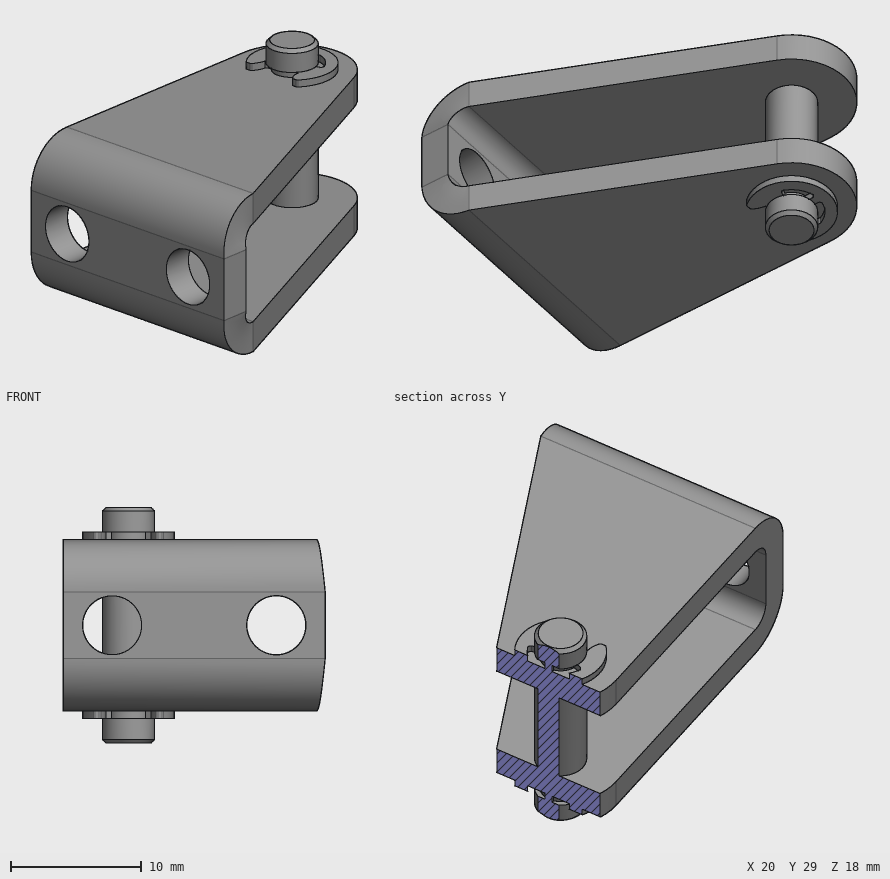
import cadquery as cq
import math

width = 20.0
length = 29.0
height = 13.1
thickness = 2.5
inner_bend_radius = 1.5
outer_bend_radius = inner_bend_radius + thickness
bend_side_x = 19.35

ear_radius = 5.0
pin_x = ear_radius
pin_y = length - ear_radius
pin_radius = 4.0 / 2
pin_length = 18.0
pin_chamfer = 0.3
groove_radius = 1.6

hole_diameter = 4.5
hole_inset = 3.75

clip_thickness = 0.58
clip_radius = 3.5
clip_slot_radius = 2.55
clip_tab_half_width = 0.35
clip_slot_start_angle = 18.0
clip_slot_corner = 0.23
leg_root = (1.7, -1.22)
leg_bulge = (1.85, -1.8)
leg_tip = (2.15, -2.32)
leg_tip_corner = 0.17


def polar(radius, degrees):
    angle = math.radians(degrees)
    return (radius * math.cos(angle), radius * math.sin(angle))


def make_channel():
    """U-shaped sheet, open toward +Y."""
    outer = (
        cq.Workplane("XY").box(width, length, height, centered=(False, False, True))
        .edges("|X and <Y").fillet(outer_bend_radius)
    )
    inner = (
        cq.Workplane("XY").workplane(offset=-height / 2 + thickness)
        .moveTo(0, thickness)
        .rect(width, length, centered=False)
        .extrude(height - 2 * thickness)
        .edges("|X and <Y").fillet(inner_bend_radius)
    )
    return outer.cut(inner)


def make_side_outline():
    """Tapered arm outline with its slanted side tangent to the round ear."""
    run = bend_side_x - pin_x
    drop = pin_y - outer_bend_radius
    taper = math.atan2(run, drop) - math.asin(ear_radius / math.hypot(run, drop))
    tangent_x = pin_x + ear_radius * math.cos(taper)
    tangent_y = pin_y + ear_radius * math.sin(taper)
    return (
        cq.Workplane("XY").workplane(offset=-height / 2)
        .moveTo(0, 0)
        .lineTo(width, 0)
        .lineTo(width, outer_bend_radius)
        .lineTo(bend_side_x, outer_bend_radius)
        .lineTo(tangent_x, tangent_y)
        .threePointArc((pin_x, length), (0, pin_y))
        .close()
        .extrude(height)
    )


def make_bend_trim():
    """Waste beyond the upper bend's side, which recedes evenly with bend angle."""
    center_z = height / 2 - outer_bend_radius

    def side_edge(radius):
        def point(t):
            angle = t * math.pi / 2
            return (
                width + t * (bend_side_x - width),
                outer_bend_radius - radius * math.cos(angle),
                center_z + radius * math.sin(angle),
            )
        return cq.Workplane("XY").parametricCurve(point, makeWire=False).val()

    margin = inner_bend_radius / 4
    side = cq.Face.makeRuledSurface(
        side_edge(inner_bend_radius - margin), side_edge(outer_bend_radius + margin)
    )
    return cq.Workplane(cq.Solid.extrudeLinear(side, cq.Vector(width, 0, 0)))


def make_hole_tools():
    return (
        cq.Workplane("XZ")
        .pushPoints([(hole_inset, 0), (width - hole_inset, 0)])
        .circle(hole_diameter / 2)
        .extrude(-thickness)
    )


def make_pin():
    """Chamfered pin with a groove just outside each ear."""
    pin = (
        cq.Workplane("XY").circle(pin_radius).extrude(pin_length / 2, both=True)
        .faces("<Z or >Z").chamfer(pin_chamfer)
    )
    groove = (
        cq.Workplane("XY").workplane(offset=height / 2)
        .circle(pin_radius).circle(groove_radius).extrude(clip_thickness)
    )
    return pin.cut(groove).cut(groove.mirror("XY"))


def make_clip_slot():
    """Right-hand slot between the grip tab and the side of the clip."""
    tab_angle = math.degrees(math.acos(clip_tab_half_width / clip_slot_radius))
    middle_angle = (clip_slot_start_angle + tab_angle) / 2
    inner_tab_y = math.sqrt(groove_radius**2 - clip_tab_half_width**2)
    slot = (
        cq.Workplane("XY")
        .moveTo(*polar(groove_radius, clip_slot_start_angle))
        .lineTo(*polar(clip_slot_radius, clip_slot_start_angle))
        .threePointArc(polar(clip_slot_radius, middle_angle), polar(clip_slot_radius, tab_angle))
        .lineTo(clip_tab_half_width, inner_tab_y)
        .threePointArc(
            polar(groove_radius, middle_angle), polar(groove_radius, clip_slot_start_angle)
        )
        .close()
        .extrude(clip_thickness)
    )
    return slot.edges("|Z").edges(">X or >Y").fillet(clip_slot_corner)


def make_clip():
    """E-shaped clip around the groove, with its opening toward -Y."""
    tip_x, tip_y = leg_tip
    outer_tip_x = math.sqrt(clip_radius**2 - tip_y**2)
    root_angle = math.degrees(math.atan2(leg_root[1], leg_root[0]))
    grip_x, grip_y = polar(groove_radius, root_angle)
    clip = (
        cq.Workplane("XY")
        .moveTo(grip_x, grip_y)
        .lineTo(*leg_root)
        .threePointArc(leg_bulge, leg_tip)
        .lineTo(outer_tip_x, tip_y)
        .threePointArc((0, clip_radius), (-outer_tip_x, tip_y))
        .lineTo(-tip_x, tip_y)
        .threePointArc((-leg_bulge[0], leg_bulge[1]), (-leg_root[0], leg_root[1]))
        .lineTo(-grip_x, grip_y)
        .threePointArc((0, groove_radius), (grip_x, grip_y))
        .close()
        .extrude(clip_thickness)
    )
    clip = clip.edges("|Z").edges("<Y").fillet(leg_tip_corner)
    slot = make_clip_slot()
    return clip.cut(slot).cut(slot.mirror("YZ")).translate((0, 0, height / 2))


bend_trim = make_bend_trim()
bracket = (
    make_channel()
    .intersect(make_side_outline())
    .cut(bend_trim)
    .cut(bend_trim.mirror("XY"))
    .cut(make_hole_tools())
)

clip = make_clip()
pin_assembly = make_pin().union(clip).union(clip.mirror("XY"))
result = bracket.union(pin_assembly.translate((pin_x, pin_y, 0)))